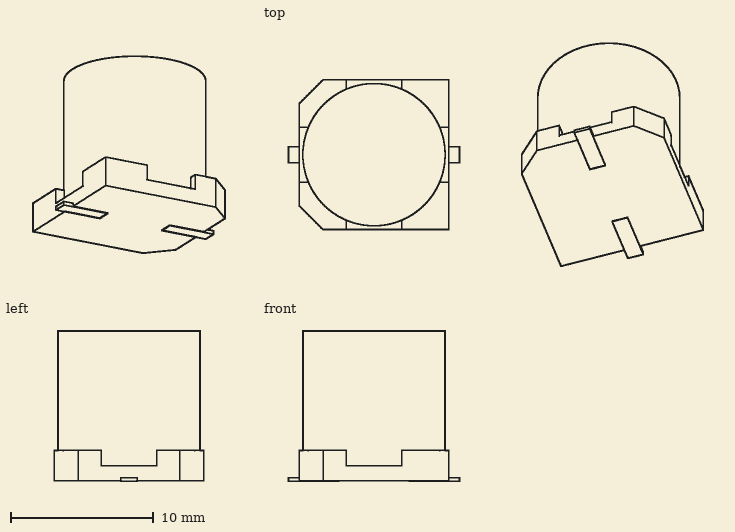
import cadquery as cq

overall_length = 11.99
overall_height = 10.54

base_side = 10.49
base_height = 2.13
base_standoff = 0.05
corner_chamfer = 1.68
base_top = base_standoff + base_height

notch_width = 3.86
notch_depth = 1.09

can_diameter = 9.96
can_bottom = base_top - notch_depth

lead_width = 1.14
lead_thickness = 0.26
lead_inner_x = 2.48
lead_length = overall_length / 2 - lead_inner_x


def make_base():
    """Square base with two bevelled corners and a notch in each side of the rim."""
    base = (
        cq.Workplane("XY")
        .workplane(offset=base_standoff)
        .rect(base_side, base_side)
        .extrude(base_height)
        .edges("|Z and <X")
        .chamfer(corner_chamfer)
    )
    for size_x, size_y in ((base_side, notch_width), (notch_width, base_side)):
        channel = (
            cq.Workplane("XY")
            .workplane(offset=can_bottom)
            .rect(size_x, size_y)
            .extrude(notch_depth)
        )
        base = base.cut(channel)
    return base


def make_can():
    return (
        cq.Workplane("XY")
        .workplane(offset=can_bottom)
        .circle(can_diameter / 2)
        .extrude(overall_height - can_bottom)
    )


def make_lead(side):
    """Flat lead on the seating plane; side is -1 or +1 along X."""
    center_x = side * (lead_inner_x + lead_length / 2)
    return (
        cq.Workplane("XY")
        .center(center_x, 0)
        .rect(lead_length, lead_width)
        .extrude(lead_thickness)
    )


result = make_base().union(make_can())
for lead_side in (-1, 1):
    result = result.union(make_lead(lead_side))